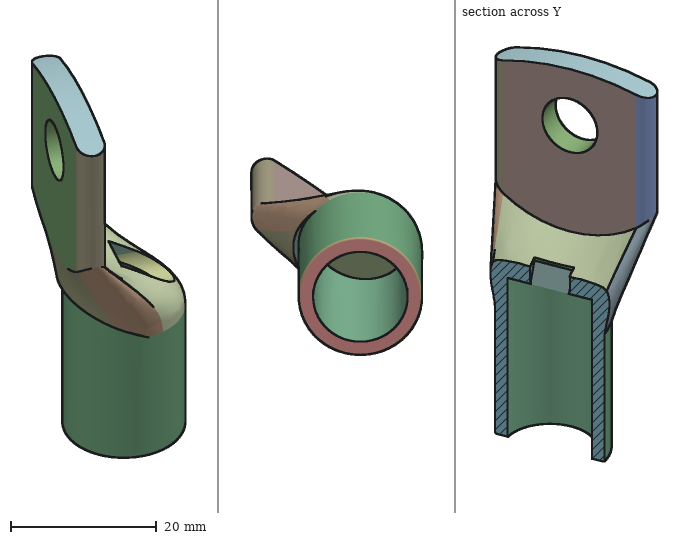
import cadquery as cq
import math

barrel_radius = 17.0 / 2
bore_radius = 13.0 / 2
bottom_round = 0.3
shoulder_height = 20.05

total_height = 57.25
overall_depth = 18.5
palm_width = 24.5
palm_thickness = 2 * (barrel_radius - bore_radius)
palm_front = barrel_radius - overall_depth
palm_back = palm_front + palm_thickness
palm_center = palm_front + palm_thickness / 2
palm_corner_height = 55.3
palm_root_middle = 31.4
palm_root_side = 36.35
stud_hole_diameter = 8.5
stud_hole_height = 48.25

front_split_y = -2.3
back_split_y = 3.3
hip_height = 22.05
hip_front_y = -8.75
hip_back_y = 8.0
hip_front_corner = (8.25, -3.4)
hip_back_corner = (7.95, 3.0)
hip_side = (8.8, -0.6)
waist_height = 24.05
waist_front_y = -9.05
waist_back_y = 6.3
waist_front_corner = (8.5, -4.45)
waist_back_corner = (8.2, 2.25)
waist_side = (9.3, -1.15)

ledge_start_y = 1.0
ledge_angle = 27.0

bore_roof_y = 4.35
bore_roof_angle = 26.0

window_radius = 3.05
window_axis_height = 26.2
window_floor = window_axis_height - window_radius
window_end_low_y = 0.05
window_end_low_z = 25.2
window_end_high_y = -1.25
window_end_high_z = 28.4

clearance = 34.35


def arc_radius(chord, rise):
    return (chord ** 2 / 4 + rise ** 2) / (2 * rise)


def disc_along_y(radius, center_z):
    return cq.Workplane("XZ").center(0, center_z).circle(radius).extrude(clearance, both=True)


def make_palm():
    half_width = palm_width / 2
    flat_half_width = (palm_width - palm_thickness) / 2
    rounded_bar = (
        cq.Workplane("XY")
        .moveTo(-flat_half_width, palm_front)
        .lineTo(flat_half_width, palm_front)
        .threePointArc((half_width, palm_center), (flat_half_width, palm_back))
        .lineTo(-flat_half_width, palm_back)
        .threePointArc((-half_width, palm_center), (-flat_half_width, palm_front))
        .close()
        .extrude(total_height)
    )
    top_radius = arc_radius(palm_width, total_height - palm_corner_height)
    root_radius = arc_radius(palm_width, palm_root_side - palm_root_middle)
    top_disc = disc_along_y(top_radius, total_height - top_radius)
    root_disc = disc_along_y(root_radius, palm_root_middle + root_radius)
    return rounded_bar.intersect(top_disc).intersect(root_disc)


def section_wire(height, front_y, front_corner, side, back_corner, back_y):
    """Closed horizontal section of four arcs, symmetric about X = 0."""

    def point(x, y):
        return cq.Vector(x, y, height)

    def arc(start, middle, end):
        return cq.Edge.makeThreePointArc(point(*start), point(*middle), point(*end))

    def mirrored(xy):
        return (-xy[0], xy[1])

    return cq.Wire.assembleEdges([
        arc(mirrored(front_corner), (0, front_y), front_corner),
        arc(front_corner, side, back_corner),
        arc(back_corner, (0, back_y), mirrored(back_corner)),
        arc(mirrored(back_corner), mirrored(side), mirrored(front_corner)),
    ])


def on_barrel(y):
    return (math.sqrt(barrel_radius ** 2 - y ** 2), y)


def make_transition(palm):
    """Smooth skin from the barrel's circle to the curved root of the palm."""
    shoulder = section_wire(
        shoulder_height, -barrel_radius, on_barrel(front_split_y),
        (barrel_radius, 0), on_barrel(back_split_y), barrel_radius,
    )
    hip = section_wire(
        hip_height, hip_front_y, hip_front_corner,
        hip_side, hip_back_corner, hip_back_y,
    )
    waist = section_wire(
        waist_height, waist_front_y, waist_front_corner,
        waist_side, waist_back_corner, waist_back_y,
    )
    palm_root = palm.faces("<Z").val()
    skin = cq.occ_impl.shapes.loft(
        shoulder, hip, waist, palm_root.outerWire(), parametrization="centripetal"
    )
    caps = [cq.Face.makeFromWires(shoulder), palm_root]
    shell = cq.Shell.makeShell(skin.Faces() + caps)
    return cq.Workplane(obj=cq.Solid.makeSolid(shell))


def below_plane(y, z, angle):
    """Everything under a plane through (y, z) that rises toward -Y."""
    slope = math.tan(math.radians(angle))
    return (
        cq.Workplane("YZ")
        .moveTo(y + clearance, z - slope * clearance)
        .lineTo(y - clearance, z + slope * clearance)
        .lineTo(y - clearance, -clearance)
        .lineTo(y + clearance, -clearance)
        .close()
        .extrude(clearance, both=True)
    )


def make_barrel(below_ledge):
    lower = cq.Workplane("XY").circle(barrel_radius).extrude(shoulder_height)
    front = (
        cq.Workplane("XY")
        .circle(barrel_radius)
        .extrude(total_height)
        .intersect(below_ledge)
    )
    return lower.union(front).faces("<Z").fillet(bottom_round)


def make_bore():
    roof = below_plane(bore_roof_y, window_floor, bore_roof_angle)
    return cq.Workplane("XY").circle(bore_radius).extrude(total_height).intersect(roof)


def make_window():
    top_z = window_axis_height + clearance
    trench = (
        cq.Workplane("XZ")
        .moveTo(-window_radius, top_z)
        .lineTo(-window_radius, window_axis_height)
        .threePointArc((0, window_floor), (window_radius, window_axis_height))
        .lineTo(window_radius, top_z)
        .close()
        .extrude(clearance, both=True)
    )
    behind_end_wall = (
        cq.Workplane("YZ")
        .moveTo(window_end_low_y, 0)
        .lineTo(window_end_low_y, window_end_low_z)
        .lineTo(window_end_high_y, window_end_high_z)
        .lineTo(window_end_high_y, top_z)
        .lineTo(clearance, top_z)
        .lineTo(clearance, 0)
        .close()
        .extrude(clearance, both=True)
    )
    return trench.intersect(behind_end_wall)


palm = make_palm()
below_ledge = below_plane(ledge_start_y, shoulder_height, ledge_angle)
transition = make_transition(palm).cut(below_ledge)
stud_hole = disc_along_y(stud_hole_diameter / 2, stud_hole_height)

result = (
    palm.union(transition)
    .union(make_barrel(below_ledge))
    .cut(make_bore())
    .cut(make_window())
    .cut(stud_hole)
)